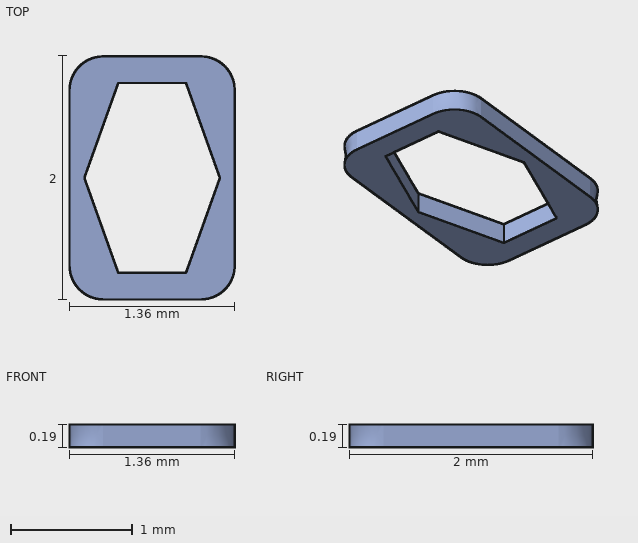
import cadquery as cq
import math

width = 1.36
length = 2.0
thickness = 0.19
corner_radius = 0.28
corner_waist_depth = 0.015

window_width = 1.112
window_length = 1.555
window_end_width = window_width / 2


def add_outline(plane, inset):
    """Draw the plate outline, with the middle of each corner arc moved inward by inset."""
    half_x = width / 2
    half_y = length / 2
    center_x = half_x - corner_radius
    center_y = half_y - corner_radius
    middle = (corner_radius - inset) * math.sqrt(0.5)
    middle_x = center_x + middle
    middle_y = center_y + middle
    return (
        plane.moveTo(-center_x, -half_y)
        .lineTo(center_x, -half_y)
        .threePointArc((middle_x, -middle_y), (half_x, -center_y))
        .lineTo(half_x, center_y)
        .threePointArc((middle_x, middle_y), (center_x, half_y))
        .lineTo(-center_x, half_y)
        .threePointArc((-middle_x, middle_y), (-half_x, center_y))
        .lineTo(-half_x, -center_y)
        .threePointArc((-middle_x, -middle_y), (-center_x, -half_y))
        .close()
    )


def make_plate():
    """Plate centred on the origin, with flat sides and slightly waisted round corners."""
    bottom = add_outline(cq.Workplane("XY", origin=(0, 0, -thickness / 2)), 0)
    waist = add_outline(bottom.workplane(offset=thickness / 2), corner_waist_depth)
    top = add_outline(waist.workplane(offset=thickness / 2), 0)
    return top.loft()


def make_window():
    """Elongated hexagonal prism that passes through the whole plate."""
    point_x = window_width / 2
    end_x = window_end_width / 2
    end_y = window_length / 2
    outline = [
        (point_x, 0),
        (end_x, end_y),
        (-end_x, end_y),
        (-point_x, 0),
        (-end_x, -end_y),
        (end_x, -end_y),
    ]
    return cq.Workplane("XY").polyline(outline).close().extrude(thickness / 2, both=True)


result = make_plate().cut(make_window())